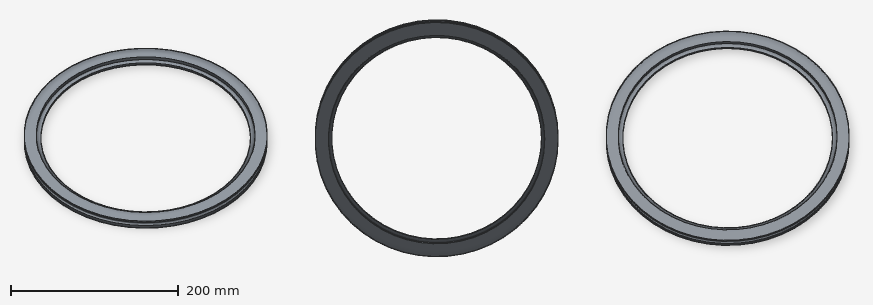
import cadquery as cq

outer_radius = 145.0
height = 12.0
bore_radius = 125.0
upper_recess_radius = 130.5
lower_recess_radius = 129.0
lip_bottom = 5.0
lip_thickness = 2.5
groove_radius = 2.5
groove_height = 7.0

lip_top = lip_bottom + lip_thickness
groove_bottom = groove_height - groove_radius
groove_top = groove_height + groove_radius
groove_floor_radius = outer_radius - groove_radius


def ring_section():
    """Half section of the ring on the -X side, as (x, z) points in the XZ plane."""
    return (
        cq.Workplane("XZ")
        .moveTo(-lower_recess_radius, 0)
        .lineTo(-outer_radius, 0)
        .lineTo(-outer_radius, groove_bottom)
        .threePointArc((-groove_floor_radius, groove_height), (-outer_radius, groove_top))
        .lineTo(-outer_radius, height)
        .lineTo(-upper_recess_radius, height)
        .lineTo(-upper_recess_radius, lip_top)
        .lineTo(-bore_radius, lip_top)
        .lineTo(-bore_radius, lip_bottom)
        .lineTo(-lower_recess_radius, lip_bottom)
        .close()
    )


result = ring_section().revolve(360, (0, 0, 0), (0, 1, 0))